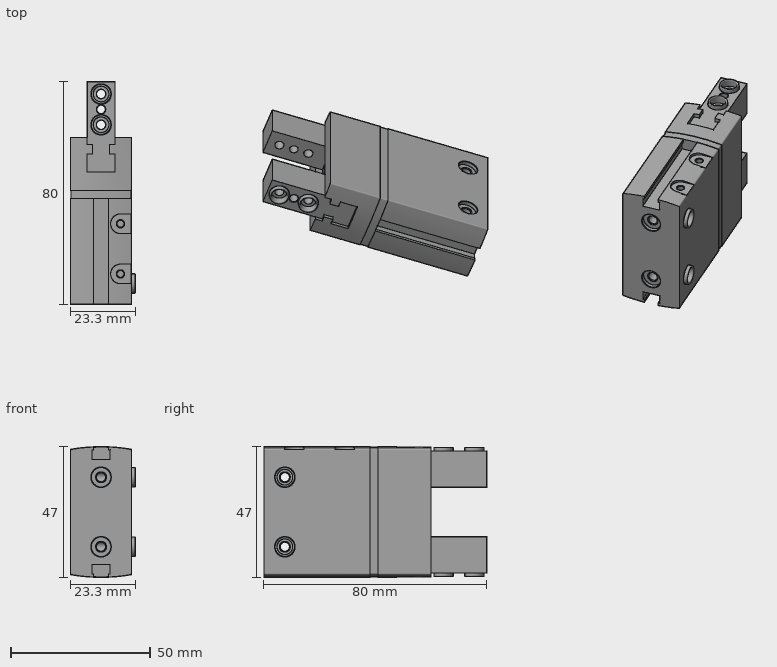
import cadquery as cq
import math

housing_width = 22.0
housing_height = 47.0
housing_length = 60.0
crown_radius = 62.4
edge_fillet = 0.5

band_start = 38.0
band_length = 3.0
band_depth = 0.2

sensor_slot_neck_width = 5.3
sensor_slot_width = 6.5
sensor_slot_depth = 4.6
sensor_slot_lip = 1.2

overall_length = 80.0
jaw_width = 10.1
jaw_neck_width = 6.0
jaw_inner_end = 47.5
jaw_neck_start = 54.0
jaw_neck_end = 57.4
jaw_inner_z = 8.8
jaw_outer_z = 21.9

bore_diameter = 7.0
bore_depth = 1.5
bore_chamfer = 0.2
thread_diameter = 3.3
thread_chamfer = 0.3
mount_hole_y = 7.5
mount_hole_z = 12.5

jaw_pin_y = 70.0
jaw_hole_offset = 5.5
jaw_hole_y = [jaw_pin_y - jaw_hole_offset, jaw_pin_y + jaw_hole_offset]
jaw_pin_diameter = 3.0
jaw_pin_chamfer = 0.2

port_x = 7.0
port_y = [11.0, 29.0]
port_diameter = 2.5
port_chamfer = 0.2
port_depth = 6.4
port_flat_width = 7.0
port_flat_z = 22.5

sleeve_projection = 1.3
sleeve_inner_diameter = 5.6


def crowned_prism(inset, start, length):
    """Housing outline moved inwards by inset, extruded along Y from start."""
    half_width = housing_width / 2 - inset
    apex_z = housing_height / 2 - inset
    radius = crown_radius - inset
    corner_z = apex_z - radius + math.sqrt(radius**2 - half_width**2)
    return (
        cq.Workplane("XZ", origin=(0, start, 0))
        .moveTo(-half_width, -corner_z)
        .threePointArc((0, -apex_z), (half_width, -corner_z))
        .lineTo(half_width, corner_z)
        .threePointArc((0, apex_z), (-half_width, corner_z))
        .close()
        .extrude(-length)
        .edges("|Y")
        .fillet(edge_fillet)
    )


def hole_cutter(diameter, depth, chamfer=0):
    """Cutter along -Z from a mouth at Z = 0, flared at the mouth where a chamfer is given."""
    cutter = cq.Workplane("XY").circle(diameter / 2).extrude(-depth)
    if chamfer > 0:
        flare = cq.Solid.makeCone(
            diameter / 2 + chamfer, diameter / 2, chamfer, dir=cq.Vector(0, 0, -1)
        )
        cutter = cutter.union(cq.Workplane(flare))
    return cutter


def bored_hole_cutter(depth, floor_chamfer=0):
    """Cutter for a thread hole with a locating bore at its mouth."""
    bore = hole_cutter(bore_diameter, bore_depth, bore_chamfer)
    thread = hole_cutter(thread_diameter, depth - bore_depth, floor_chamfer)
    return bore.union(thread.translate((0, 0, -bore_depth)))


def place(shape, origin, direction):
    """Move a shape built about +Z so that +Z points along direction from origin."""
    return cq.Workplane(shape.val().moved(cq.Plane(origin=origin, normal=direction).location))


def jaw_prism(bottom_z, top_z):
    """T-shaped jaw outline, extruded from bottom_z to top_z."""
    half_width = jaw_width / 2
    half_neck = jaw_neck_width / 2
    right_side = [
        (half_width, jaw_inner_end),
        (half_width, jaw_neck_start),
        (half_neck, jaw_neck_start),
        (half_neck, jaw_neck_end),
        (half_width, jaw_neck_end),
        (half_width, overall_length),
    ]
    left_side = [(-x, y) for x, y in reversed(right_side)]
    return (
        cq.Workplane("XY", origin=(0, 0, bottom_z))
        .polyline(right_side + left_side)
        .close()
        .extrude(top_z - bottom_z)
    )


def sensor_slot(side):
    """T-slot cutter in the upper (side = 1) or lower (side = -1) crowned face."""
    apex_z = housing_height / 2
    floor_z = apex_z - sensor_slot_depth
    lip_z = apex_z - sensor_slot_lip
    base = cq.Workplane("XY", origin=(0, 0, floor_z))
    from_rear = (True, False, False)
    neck = base.box(sensor_slot_neck_width, band_start, sensor_slot_depth, centered=from_rear)
    wide = base.box(sensor_slot_width, band_start, lip_z - floor_z, centered=from_rear)
    slot = neck.union(wide)
    return slot if side > 0 else slot.mirror("XY")


def port_flat(y):
    """Round-ended flat around a port, open towards +X."""
    height = housing_height / 2 - port_flat_z
    reach = housing_width / 2 - port_x
    round_end = cq.Workplane("XY").circle(port_flat_width / 2).extrude(height)
    open_end = cq.Workplane("XY").box(reach, port_flat_width, height, centered=(False, True, False))
    return round_end.union(open_end).translate((port_x, y, port_flat_z))


def make_housing():
    band_end = band_start + band_length
    housing = (
        crowned_prism(0, 0, band_start)
        .union(crowned_prism(band_depth, band_start, band_length))
        .union(crowned_prism(0, band_end, housing_length - band_end))
        .cut(jaw_prism(-housing_height / 2, housing_height / 2))
    )
    for side in (-1, 1):
        housing = housing.cut(sensor_slot(side))

    side_hole = bored_hole_cutter(housing_width / 2, thread_chamfer)
    rear_hole = bored_hole_cutter(mount_hole_y, thread_chamfer)
    for z in (-mount_hole_z, mount_hole_z):
        for side in (-1, 1):
            mouth = (side * housing_width / 2, mount_hole_y, z)
            housing = housing.cut(place(side_hole, mouth, (side, 0, 0)))
        housing = housing.cut(place(rear_hole, (0, 0, z), (0, -1, 0)))

    port = hole_cutter(port_diameter, port_depth, port_chamfer)
    for y in port_y:
        housing = housing.cut(port_flat(y))
        housing = housing.cut(place(port, (port_x, y, port_flat_z), (0, 0, 1)))
    return housing.val()


def make_jaw():
    """Upper jaw, with its holes through from the outer face."""
    thickness = jaw_outer_z - jaw_inner_z
    jaw = jaw_prism(jaw_inner_z, jaw_outer_z)
    screw_hole = bored_hole_cutter(thickness)
    for y in jaw_hole_y:
        jaw = jaw.cut(place(screw_hole, (0, y, jaw_outer_z), (0, 0, 1)))
    pin_hole = hole_cutter(jaw_pin_diameter, thickness, jaw_pin_chamfer)
    return jaw.cut(place(pin_hole, (0, jaw_pin_y, jaw_outer_z), (0, 0, 1))).val()


def make_sleeve(origin, direction):
    """Round-rimmed sleeve seated in a locating bore whose mouth is at origin."""
    inner_radius = sleeve_inner_diameter / 2
    outer_radius = bore_diameter / 2
    rim_radius = (outer_radius - inner_radius) / 2
    rim_start = sleeve_projection - rim_radius
    sleeve = (
        cq.Workplane("XZ")
        .moveTo(inner_radius, -bore_depth)
        .lineTo(outer_radius, -bore_depth)
        .lineTo(outer_radius, rim_start)
        .threePointArc((inner_radius + rim_radius, sleeve_projection), (inner_radius, rim_start))
        .close()
        .revolve(360, (0, 0, 0), (0, 1, 0))
    )
    return place(sleeve, origin, direction).val()


housing = make_housing()
upper_jaw = make_jaw()
jaws = [upper_jaw, upper_jaw.mirror("XY")]
jaw_sleeves = [
    make_sleeve((0, y, side * jaw_outer_z), (0, 0, side))
    for side in (-1, 1)
    for y in jaw_hole_y
]
housing_sleeves = [
    make_sleeve((housing_width / 2, mount_hole_y, z), (1, 0, 0))
    for z in (-mount_hole_z, mount_hole_z)
]

result = cq.Compound.makeCompound([housing, *jaws, *jaw_sleeves, *housing_sleeves])